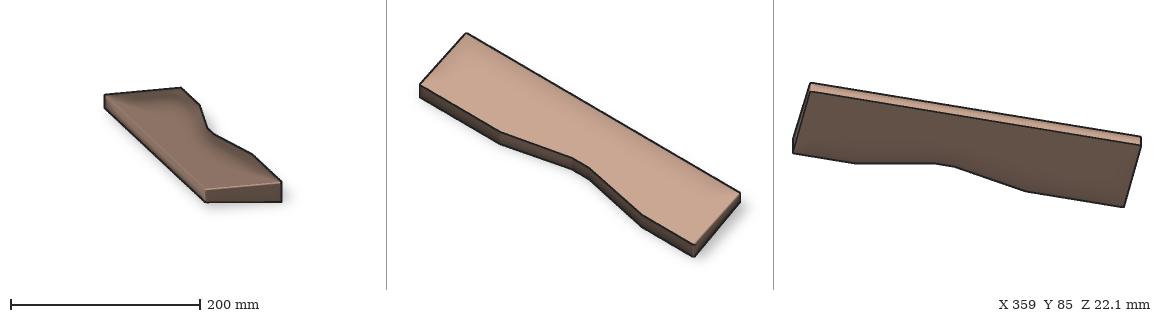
import math

import cadquery as cq

LENGTH = 359.0
DEPTH = 85.0
BACK_HEIGHT = 22.06

UNDERSIDE_ANGLE = 5.0
FRONT_UNDERSIDE_Z = DEPTH * math.tan(math.radians(UNDERSIDE_ANGLE))

RELIEF_CENTER_X = 160.5
RELIEF_FLOOR_LENGTH = 22.0
RELIEF_MOUTH_LENGTH = 185.0
RELIEF_DEPTH = 17.0

CORNER_RADIUS = 2.0
TOP_EDGE_RADIUS = 1.5


def wedge():
    """Flat-topped bar with a sloping underside; its lower back edge lies at Z = 0."""
    side_profile = [
        (0, FRONT_UNDERSIDE_Z),
        (DEPTH, 0),
        (DEPTH, BACK_HEIGHT),
        (0, BACK_HEIGHT),
    ]
    return cq.Workplane("YZ").polyline(side_profile).close().extrude(LENGTH)


def rounded_wedge():
    """Wedge with all four upright corners rounded and every top edge but the back one.

    The top edges are rounded while the back corners are still square, so that the
    rounding stops at the back face; the overlap with the second body rounds those corners.
    """
    top_rounded = wedge().edges("|Z and <Y").fillet(CORNER_RADIUS)
    top_rounded = top_rounded.faces(">Z").edges("not >Y").fillet(TOP_EDGE_RADIUS)
    corners_rounded = wedge().edges("|Z").fillet(CORNER_RADIUS)
    return top_rounded.intersect(corners_rounded)


def back_relief():
    """Cutter with a trapezoidal outline that passes through the full height."""
    half_mouth = RELIEF_MOUTH_LENGTH / 2
    half_floor = RELIEF_FLOOR_LENGTH / 2
    floor_y = DEPTH - RELIEF_DEPTH
    outline = [
        (RELIEF_CENTER_X - half_mouth, DEPTH),
        (RELIEF_CENTER_X - half_floor, floor_y),
        (RELIEF_CENTER_X + half_floor, floor_y),
        (RELIEF_CENTER_X + half_mouth, DEPTH),
    ]
    return cq.Workplane("XY").polyline(outline).close().extrude(BACK_HEIGHT)


result = rounded_wedge().cut(back_relief())